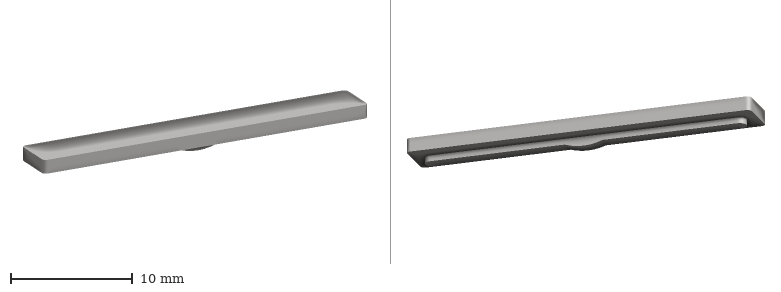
import cadquery as cq

plate_width = 4.0
plate_length = 30.0
plate_thickness = 1.2
corner_radius = 0.4

rib_width = 1.2
rib_length = 28.0
rib_height = 0.5

total_height = 2.0
bulge_length = 3.3
bulge_depth = total_height - plate_thickness - rib_height


def make_plate():
    plate = cq.Workplane("XY").rect(plate_width, plate_length).extrude(plate_thickness)
    return plate.edges("|Z").fillet(corner_radius)


def make_rib():
    return cq.Workplane("XY").slot2D(rib_length, rib_width, 90).extrude(-rib_height)


def make_bulge():
    """Arc-bottomed pad as wide as the rib, reaching up to the plate."""
    half_length = bulge_length / 2
    return (
        cq.Workplane("YZ")
        .moveTo(-half_length, 0)
        .lineTo(-half_length, -rib_height)
        .threePointArc((0, -rib_height - bulge_depth), (half_length, -rib_height))
        .lineTo(half_length, 0)
        .close()
        .extrude(rib_width / 2, both=True)
    )


result = make_plate().union(make_rib()).union(make_bulge())